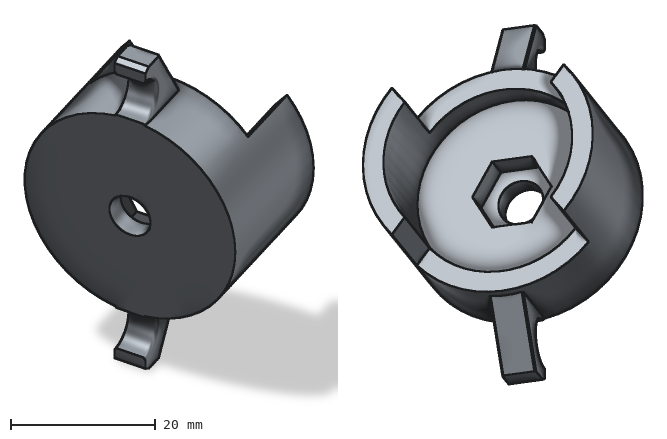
import cadquery as cq
import math

body_radius = 16.75
wall = 3.0
body_length = 22.0
base_thickness = 7.05
bore_radius = 3.25
nut_seat = 3.15
nut_across_flats = 10.0
ring_length = 11.1
tab_half_height = 11.15
tab_side_slope = math.radians(52)

lug_tip = 26.25
lug_root = 15.75
lug_width = 4.95
lug_tip_depth = 4.0
lug_slope = math.radians(30)
tip_chamfer_depth = 0.95
tip_chamfer_height = 0.6
back_edge_chamfer = 0.2
notch_radius = 3.5
notch_center = 20.3
notch_round = 0.5

cavity_radius = body_radius - wall


def disc(radius, start, end):
    """Solid cylinder about the Y axis, from y = start to y = end."""
    sketch = cq.Workplane("XZ", origin=(0, start, 0)).circle(radius)
    return sketch.extrude(start - end)


def tab_gap():
    """Wedge that opens the wall above the ring and leaves sloping tab sides."""
    outer_corner_x = math.sqrt(body_radius**2 - tab_half_height**2)
    apex_z = tab_half_height - outer_corner_x * math.tan(tab_side_slope)
    top_z = 2 * body_radius
    top_x = (top_z - apex_z) / math.tan(tab_side_slope)
    sketch = cq.Workplane("XZ", origin=(0, ring_length, 0))
    sketch = sketch.polyline([(0, apex_z), (top_x, top_z), (-top_x, top_z)]).close()
    return sketch.extrude(ring_length - body_length)


def nut_pocket():
    """Hexagon opening into the cavity, with flats facing +Z and -Z."""
    across_corners = nut_across_flats / math.cos(math.radians(30))
    sketch = cq.Workplane("XZ", origin=(0, nut_seat, 0)).polygon(6, across_corners)
    return sketch.extrude(nut_seat - base_thickness)


def cup():
    shell = disc(body_radius, 0, body_length)
    shell = shell.cut(disc(cavity_radius, base_thickness, body_length))
    shell = shell.cut(disc(bore_radius, 0, nut_seat))
    shell = shell.cut(nut_pocket())
    upper_gap = tab_gap()
    return shell.cut(upper_gap).cut(upper_gap.mirror("XY"))


def upper_lug():
    root_depth = lug_tip_depth + (lug_tip - lug_root) * math.tan(lug_slope)
    outline = [
        (0, lug_root),
        (root_depth, lug_root),
        (lug_tip_depth, lug_tip),
        (tip_chamfer_depth, lug_tip),
        (0, lug_tip - tip_chamfer_height),
    ]
    lug = cq.Workplane("YZ").polyline(outline).close().extrude(lug_width / 2, both=True)

    middle = ((root_depth + lug_tip_depth) / 2, (lug_root + lug_tip) / 2)
    for side in (-1, 1):
        edge_point = (side * lug_width / 2, *middle)
        lug = lug.edges(cq.selectors.NearestToPointSelector(edge_point)).chamfer(back_edge_chamfer)

    notch_profile = (
        cq.Workplane("XY", origin=(0, 0, notch_center))
        .moveTo(-lug_width / 2, 0)
        .lineTo(-lug_width / 2, notch_radius + notch_round)
        .radiusArc((notch_round - lug_width / 2, notch_radius), -notch_round)
        .lineTo(lug_width / 2 - notch_round, notch_radius)
        .radiusArc((lug_width / 2, notch_radius + notch_round), -notch_round)
        .lineTo(lug_width / 2, 0)
        .close()
    )
    notch = notch_profile.revolve(360, (0, 0, 0), (1, 0, 0))
    lug = lug.cut(notch)

    return lug.cut(disc(cavity_radius, base_thickness, body_length))


lug = upper_lug()
result = cup().union(lug).union(lug.mirror("XY"))